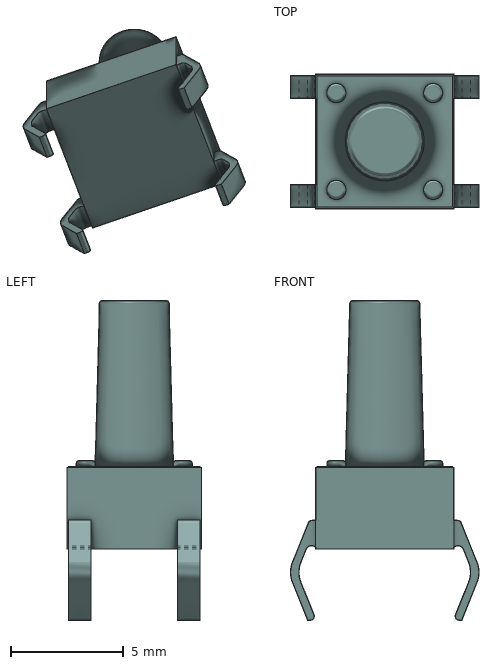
import cadquery as cq
import math

total_width = 8.37
total_height = 14.18

body_width = 6.13
body_depth = 5.98
body_height = 3.62
cover_thickness = 0.05
cover_inset_x = 0.05
cover_inset_y = 0.09
cover_top = body_height + cover_thickness

button_base_diameter = 3.5
button_top_diameter = 3.1
button_fillet = 0.14

rivet_diameter = 0.85
rivet_height = 0.25
rivet_spacing = 4.3
rivet_fillet = 0.13

leg_depth = 3.16
leg_width = 1.0
leg_outer_y = 2.92
leg_thickness = 0.35
leg_angle = math.radians(22)
leg_top = 1.28
leg_top_radius = 0.2
bend_height = -1.04
bend_radius = 1.2
notch_top = 0.14
notch_radius = 0.25
tip_radius = 0.18

button_top = total_height - leg_depth


def make_housing():
    body = cq.Workplane("XY").box(body_width, body_depth, body_height, centered=(True, True, False))
    cover = (
        cq.Workplane("XY")
        .workplane(offset=body_height)
        .rect(body_width - 2 * cover_inset_x, body_depth - 2 * cover_inset_y)
        .extrude(cover_thickness)
    )
    return body.union(cover)


def make_button():
    return (
        cq.Workplane("XY")
        .workplane(offset=cover_top)
        .circle(button_base_diameter / 2)
        .workplane(offset=button_top - cover_top)
        .circle(button_top_diameter / 2)
        .loft()
        .faces(">Z")
        .edges()
        .fillet(button_fillet)
    )


def make_rivets():
    return (
        cq.Workplane("XY")
        .workplane(offset=cover_top)
        .rect(rivet_spacing, rivet_spacing, forConstruction=True)
        .vertices()
        .circle(rivet_diameter / 2)
        .extrude(rivet_height)
        .faces(">Z")
        .edges()
        .fillet(rivet_fillet)
    )


def point_on_circle(center, radius, angle):
    return (center[0] + radius * math.cos(angle), center[1] + radius * math.sin(angle))


def make_leg():
    """Leg on the -X, -Y corner, drawn as an XZ outline and extruded along Y."""
    wall_x = -body_width / 2
    slope = math.tan(leg_angle)
    upward = math.pi - leg_angle
    downward = math.pi + leg_angle

    level_width = leg_thickness / math.cos(leg_angle)
    outer_bend = (-total_width / 2 + bend_radius, bend_height)
    inner_bend = (outer_bend[0] + level_width, bend_height)
    outer_upper = point_on_circle(outer_bend, bend_radius, upward)
    outer_middle = point_on_circle(outer_bend, bend_radius, math.pi)
    outer_lower = point_on_circle(outer_bend, bend_radius, downward)
    inner_upper = point_on_circle(inner_bend, bend_radius, upward)
    inner_middle = point_on_circle(inner_bend, bend_radius, math.pi)
    inner_lower = point_on_circle(inner_bend, bend_radius, downward)

    corner_z = leg_top - leg_top_radius
    corner_x = (
        outer_upper[0] + (corner_z - outer_upper[1]) * slope + leg_top_radius / math.cos(leg_angle)
    )
    corner_center = (corner_x, corner_z)
    corner_start = point_on_circle(corner_center, leg_top_radius, upward)
    corner_middle = point_on_circle(corner_center, leg_top_radius, (upward + math.pi / 2) / 2)
    corner_end = (corner_x, leg_top)

    notch_z = notch_top - notch_radius
    notch_x = (
        inner_upper[0] + (notch_z - inner_upper[1]) * slope + notch_radius / math.cos(leg_angle)
    )
    notch_start = point_on_circle((notch_x, notch_z), notch_radius, upward)
    notch_end = (wall_x, notch_z + math.sqrt(notch_radius**2 - (wall_x - notch_x) ** 2))

    tip_outer = (outer_lower[0] + (outer_lower[1] + leg_depth) * slope, -leg_depth)
    round_z = tip_radius - leg_depth
    round_x = (
        inner_lower[0] + (inner_lower[1] - round_z) * slope - tip_radius / math.cos(leg_angle)
    )
    round_center = (round_x, round_z)
    round_start = (round_x, -leg_depth)
    round_middle = point_on_circle(round_center, tip_radius, (leg_angle - math.pi / 2) / 2)
    round_end = point_on_circle(round_center, tip_radius, leg_angle)

    return (
        cq.Workplane("XZ", origin=(0, leg_width - leg_outer_y, 0))
        .moveTo(wall_x, leg_top)
        .lineTo(*corner_end)
        .threePointArc(corner_middle, corner_start)
        .lineTo(*outer_upper)
        .threePointArc(outer_middle, outer_lower)
        .lineTo(*tip_outer)
        .lineTo(*round_start)
        .threePointArc(round_middle, round_end)
        .lineTo(*inner_lower)
        .threePointArc(inner_middle, inner_upper)
        .lineTo(*notch_start)
        .threePointArc((notch_x, notch_top), notch_end)
        .close()
        .extrude(leg_width)
    )


leg = make_leg()
left_legs = leg.union(leg.mirror("XZ"))
legs = left_legs.union(left_legs.mirror("YZ"))

result = make_housing().union(make_button()).union(make_rivets()).union(legs)